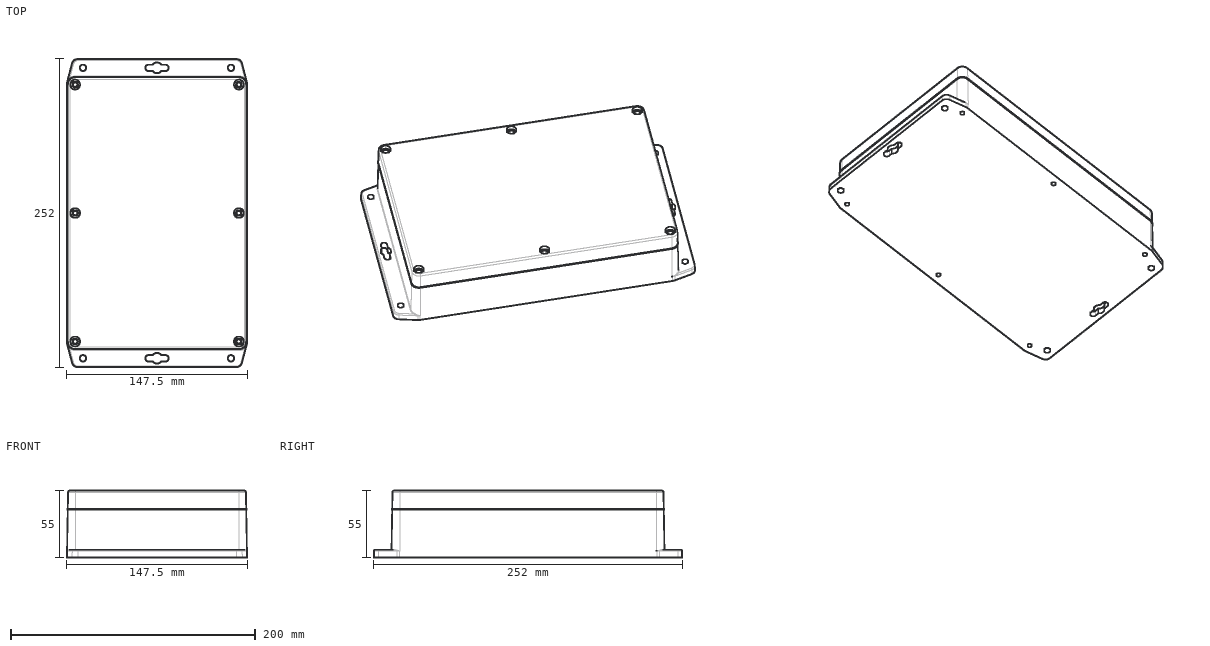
import math

import cadquery as cq

LENGTH = 252.0
WIDTH = 147.5
HEIGHT = 55.0
DRAFT_ANGLE = 1.0

BOX_LENGTH = 223.5
CORNER_RADIUS = 6.8

LID_HEIGHT = 15.0
LID_EDGE_FILLET = 1.5

HOUSING_HEIGHT = HEIGHT - LID_HEIGHT
BEAD_HEIGHT = 0.8
BEAD_PROJECTION = 0.3

FLANGE_HEIGHT = 6.5
FLANGE_TIP_WIDTH = 137.0
FLANGE_SHOULDER_LENGTH = 212.7
FLANGE_CORNER_RADIUS = 5.0
FLANGE_SHOULDER_RADIUS = 7.5
FLANGE_EDGE_FILLET = 1.0
FLANGE_ROOT_FILLET = 0.5

MOUNT_ROW_OFFSET = 118.7
MOUNT_HOLE_SPACING = 121.0
MOUNT_HOLE_DIAMETER = 5.0
SLOT_LENGTH = 19.0
SLOT_WIDTH = 5.0
SLOT_EYE_DIAMETER = 8.5

SCREW_SPACING_X = WIDTH - 2 * CORNER_RADIUS
SCREW_SPACING_Y = BOX_LENGTH - 2 * CORNER_RADIUS
SCREW_HOLE_DIAMETER = 3.5
CLEARANCE_DIAMETER = 4.8
COUNTERBORE_DIAMETER = 8.0
COUNTERBORE_DEPTH = 3.5


def draft_inset(height):
    """Distance a drafted wall has moved inward at the given height."""
    return height * math.tan(math.radians(DRAFT_ANGLE))


def drafted_box(bottom, top, projection=0.0):
    """Slice of the round-cornered box between two heights, optionally standing proud of its walls."""
    inset = draft_inset(bottom) - projection
    outline = (
        cq.Sketch()
        .rect(WIDTH - 2 * inset, BOX_LENGTH - 2 * inset)
        .vertices()
        .fillet(CORNER_RADIUS - inset)
    )
    return (
        cq.Workplane("XY", origin=(0, 0, bottom))
        .placeSketch(outline)
        .extrude(top - bottom, taper=DRAFT_ANGLE)
    )


def screw_drill(diameter, bottom, top):
    """Six upright cylinders, one at each screw."""
    return (
        cq.Workplane("XY", origin=(0, 0, bottom))
        .rarray(SCREW_SPACING_X, SCREW_SPACING_Y / 2, 2, 3)
        .circle(diameter / 2)
        .extrude(top - bottom)
    )


def base_plate():
    """Bottom plate as wide as the box, with tapered ends forming the flanges."""
    half_width = WIDTH / 2
    half_shoulder = FLANGE_SHOULDER_LENGTH / 2
    half_tip = FLANGE_TIP_WIDTH / 2
    half_length = LENGTH / 2
    corners = [
        (half_width, half_shoulder),
        (half_tip, half_length),
        (-half_tip, half_length),
        (-half_width, half_shoulder),
        (-half_width, -half_shoulder),
        (-half_tip, -half_length),
        (half_tip, -half_length),
        (half_width, -half_shoulder),
        (half_width, half_shoulder),
    ]
    outline = (
        cq.Sketch()
        .polygon(corners)
        .vertices(">Y or <Y")
        .fillet(FLANGE_CORNER_RADIUS)
        .reset()
        .vertices(">X or <X")
        .fillet(FLANGE_SHOULDER_RADIUS)
    )
    return cq.Workplane("XY").placeSketch(outline).extrude(FLANGE_HEIGHT, taper=DRAFT_ANGLE)


def flange_openings():
    """Two round holes and one slot with a wider eye at its middle, for each flange."""
    rows = [(0, -MOUNT_ROW_OFFSET), (0, MOUNT_ROW_OFFSET)]
    plane = cq.Workplane("XY")
    holes = (
        plane.rarray(MOUNT_HOLE_SPACING, 2 * MOUNT_ROW_OFFSET, 2, 2)
        .circle(MOUNT_HOLE_DIAMETER / 2)
        .extrude(FLANGE_HEIGHT)
    )
    slots = plane.pushPoints(rows).slot2D(SLOT_LENGTH, SLOT_WIDTH).extrude(FLANGE_HEIGHT)
    eyes = plane.pushPoints(rows).circle(SLOT_EYE_DIAMETER / 2).extrude(FLANGE_HEIGHT)
    return holes.union(slots).union(eyes)


def flange_root_edges(body):
    """Straight edges where the end walls of the box meet the flange tops."""
    wall_offset = BOX_LENGTH / 2 - draft_inset(FLANGE_HEIGHT)
    return body.edges("|X").edges(
        cq.selectors.BoxSelector(
            (-WIDTH, -wall_offset - FLANGE_ROOT_FILLET, FLANGE_HEIGHT - FLANGE_ROOT_FILLET),
            (WIDTH, wall_offset + FLANGE_ROOT_FILLET, FLANGE_HEIGHT + FLANGE_ROOT_FILLET),
        )
    )


def make_housing():
    body = base_plate().faces(">Z").edges("not(<X or >X)").fillet(FLANGE_EDGE_FILLET)
    body = body.union(drafted_box(0, HOUSING_HEIGHT))
    body = flange_root_edges(body).fillet(FLANGE_ROOT_FILLET)
    body = body.union(drafted_box(HOUSING_HEIGHT - BEAD_HEIGHT, HOUSING_HEIGHT, BEAD_PROJECTION))
    body = body.cut(flange_openings())
    return body.cut(screw_drill(SCREW_HOLE_DIAMETER, 0, HOUSING_HEIGHT))


def make_lid():
    return (
        drafted_box(HOUSING_HEIGHT, HEIGHT)
        .faces(">Z")
        .edges()
        .fillet(LID_EDGE_FILLET)
        .cut(screw_drill(CLEARANCE_DIAMETER, HOUSING_HEIGHT, HEIGHT))
        .cut(screw_drill(COUNTERBORE_DIAMETER, HEIGHT - COUNTERBORE_DEPTH, HEIGHT))
    )


housing = make_housing()
lid = make_lid()

result = cq.Compound.makeCompound([housing.val(), lid.val()])